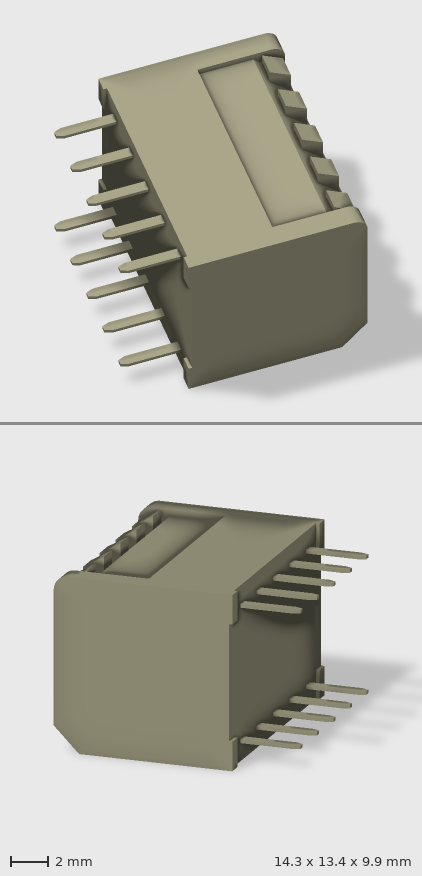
import cadquery as cq
import math

width = 14.26
height = 9.9
body_depth = 10.0
top_edge_radius = 0.8
bottom_chamfer = 1.45

foot_width = 0.8
foot_height = 1.65
foot_length = 0.2

recess_wall = 1.2
recess_length = 5.0
recess_depth = 0.4
slope_length = 1.8
slope_angle = 45.0

lever_count = 5
lever_width = 1.27
lever_depth = 1.2
lever_setback = 0.2
lever_top_angle = 30.0

pitch = 2.54
row_spacing = 7.62
pin_width = 0.6
pin_thickness = 0.2
pin_length = 3.4
tip_length = 0.4
tip_width = 0.3

top = height / 2
back = body_depth
floor_z = top - recess_depth
slope_start = back - slope_length
slope_end_z = floor_z - slope_length * math.tan(math.radians(slope_angle))
columns = [(i - (lever_count - 1) / 2) * pitch for i in range(lever_count)]


def extrude_profile(points, x_center, x_width):
    """Extrude a closed (y, z) polygon symmetrically about x_center."""
    plane = cq.Workplane("YZ", origin=(x_center, 0, 0))
    return plane.polyline(points).close().extrude(x_width / 2, both=True)


def make_housing():
    block = cq.Workplane("XY").box(width, body_depth, height).translate((0, body_depth / 2, 0))
    block = block.edges(">Y and >Z").fillet(top_edge_radius)
    return block.edges(">Y and <Z").chamfer(bottom_chamfer)


def make_recess():
    profile = [
        (back - recess_length, top),
        (back - recess_length, floor_z),
        (slope_start, floor_z),
        (back, slope_end_z),
        (back, top),
    ]
    return extrude_profile(profile, 0, width - 2 * recess_wall)


def make_lever(x):
    lever_back = back - lever_setback
    lever_front = lever_back - lever_depth
    back_z = top - lever_depth * math.tan(math.radians(lever_top_angle))
    profile = [
        (lever_front, slope_end_z),
        (lever_front, top),
        (lever_back, back_z),
        (lever_back, slope_end_z),
    ]
    return extrude_profile(profile, x, lever_width)


def make_foot(x_side, z_side):
    x = x_side * (width - foot_width) / 2
    z = z_side * (height - foot_height) / 2
    return cq.Workplane("XY").box(foot_width, foot_length, foot_height).translate((x, -foot_length / 2, z))


def make_pin(x, z):
    outline = [
        (-pin_width / 2, 0),
        (-pin_width / 2, tip_length - pin_length),
        (-tip_width / 2, -pin_length),
        (tip_width / 2, -pin_length),
        (pin_width / 2, tip_length - pin_length),
        (pin_width / 2, 0),
    ]
    plane = cq.Workplane("XY", origin=(x, 0, z))
    return plane.polyline(outline).close().extrude(pin_thickness / 2, both=True)


result = make_housing().cut(make_recess())
for column in columns:
    result = result.union(make_lever(column))
for side_z in (-1, 1):
    for side_x in (-1, 1):
        result = result.union(make_foot(side_x, side_z))
    for column in columns:
        result = result.union(make_pin(column, side_z * row_spacing / 2))